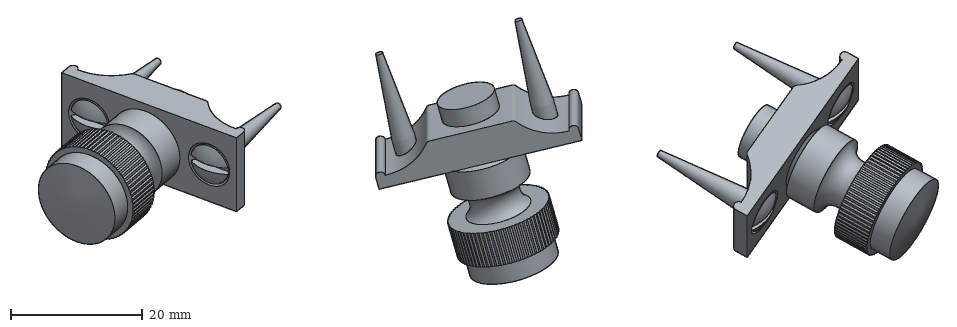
import cadquery as cq
import math


overall_length = 40.05
sides = (-1, 1)

plate_length = 32.0
plate_height = 13.6
plate_thickness = 5.85
plate_end_thickness = 2.05
scoop_radius = 9.0
scoop_center_x = 14.2
shoulder_fillet = 0.8
bead_radius = 0.75
bead_center_y = 2.0

shaft_radius = 4.53
shaft_end_y = 8.8
collar_radius = 6.3
collar_seat_radius = 4.8
collar_chamfer_length = 1.0
collar_end_y = -5.93
neck_bottom_radius = 4.0
neck_bottom_y = -8.5
grip_shoulder_radius = 5.13
grip_radius = 8.05
grip_start_y = -10.7
grip_end_y = -16.5
cap_radius = 7.0
cap_end_y = -20.02
cap_tip_y = -21.03
knurl_count = 72
knurl_depth = 0.12

screw_offset = 10.97
pin_radius = 1.8
pin_taper_start_y = 4.75
pin_tip_radius = 0.55
pin_tip_y = overall_length + cap_tip_y
countersink_radius = 3.75
countersink_depth = countersink_radius - pin_radius
head_radius = 3.4
head_edge_y = 0.05
head_rim_end_y = countersink_radius - head_radius
head_crown_y = -0.92
slot_width = 1.15
slot_floor_y = 0.72


def cylinder_along_y(radius, start_y, end_y):
    """A cylinder on the Y axis between two Y positions."""
    return cq.Workplane("XZ", origin=(0, end_y, 0)).circle(radius).extrude(end_y - start_y)


def revolve_about_y(outline):
    """Turn a closed outline, drawn as (radius, y), into a solid of revolution."""
    return outline.close().revolve(360, (0, 0, 0), (0, 1, 0))


def make_screw_hole():
    """The volume of one countersunk through hole, on the Y axis."""
    return revolve_about_y(
        cq.Workplane("XY")
        .lineTo(countersink_radius, 0)
        .lineTo(pin_radius, countersink_depth)
        .lineTo(pin_radius, plate_thickness)
        .lineTo(0, plate_thickness)
    )


def make_plate():
    """The plate with scooped shoulders, end beads, a knob hole and two countersunk screw holes."""
    half_length = plate_length / 2
    bead_center_x = half_length - bead_radius
    bead_inner_x = bead_center_x - bead_radius
    rise = plate_thickness - plate_end_thickness
    scoop_center_y = plate_end_thickness + scoop_radius
    shoulder_x = scoop_center_x - math.sqrt(scoop_radius**2 - (scoop_radius - rise) ** 2)
    middle_angle = math.acos(1 - rise / scoop_radius) / 2
    scoop_middle_x = scoop_center_x - scoop_radius * math.sin(middle_angle)
    scoop_middle_y = scoop_center_y - scoop_radius * math.cos(middle_angle)

    half_outline = (
        cq.Workplane("XY", origin=(0, 0, -plate_height / 2))
        .lineTo(half_length, 0)
        .lineTo(half_length, bead_center_y)
        .threePointArc((bead_center_x, bead_center_y + bead_radius), (bead_inner_x, bead_center_y))
        .lineTo(bead_inner_x, plate_end_thickness)
        .lineTo(scoop_center_x, plate_end_thickness)
        .threePointArc((scoop_middle_x, scoop_middle_y), (shoulder_x, plate_thickness))
        .lineTo(0, plate_thickness)
        .close()
    )
    half_plate = half_outline.extrude(plate_height)
    plate = half_plate.union(half_plate.mirror("YZ"))
    for side in sides:
        shoulder = cq.selectors.NearestToPointSelector((side * shoulder_x, plate_thickness, 0))
        plate = plate.edges(shoulder).fillet(shoulder_fillet)

    plate = plate.cut(cylinder_along_y(shaft_radius, 0, plate_thickness))
    for side in sides:
        plate = plate.cut(make_screw_hole().translate((side * screw_offset, 0, 0)))
    return plate


def make_grip():
    """The knurled grip: a prism with a ring of V-shaped teeth."""
    half_pitch = math.pi / knurl_count
    points = []
    for step in range(2 * knurl_count):
        radius = grip_radius if step % 2 else grip_radius - knurl_depth
        points.append((radius * math.cos(step * half_pitch), radius * math.sin(step * half_pitch)))
    grip = cq.Workplane("XZ", origin=(0, grip_start_y, 0)).polyline(points).close()
    return grip.extrude(grip_start_y - grip_end_y)


def make_knob():
    """The knob: shaft through the plate, collar, waisted neck, knurled grip and conical cap."""
    waist = neck_bottom_radius, neck_bottom_y
    turned = revolve_about_y(
        cq.Workplane("XY")
        .moveTo(0, shaft_end_y)
        .lineTo(shaft_radius, shaft_end_y)
        .lineTo(shaft_radius, 0)
        .lineTo(collar_seat_radius, 0)
        .lineTo(collar_radius, -collar_chamfer_length)
        .lineTo(collar_radius, collar_end_y)
        .threePointArc(waist, (grip_shoulder_radius, grip_start_y))
        .lineTo(cap_radius, grip_start_y)
        .lineTo(cap_radius, cap_end_y)
        .lineTo(0, cap_tip_y)
    )
    return turned.union(make_grip())


def make_screw():
    """One screw on the Y axis: slotted raised head with a rim, countersunk underside and tapered pin."""
    crown_height = head_edge_y - head_crown_y
    crown_radius = (head_radius**2 + crown_height**2) / (2 * crown_height)
    half_angle = math.asin(head_radius / crown_radius) / 2
    crown_middle = (
        crown_radius * math.sin(half_angle),
        head_crown_y + crown_radius * (1 - math.cos(half_angle)),
    )
    screw = revolve_about_y(
        cq.Workplane("XY")
        .moveTo(0, head_crown_y)
        .threePointArc(crown_middle, (head_radius, head_edge_y))
        .lineTo(head_radius, head_rim_end_y)
        .lineTo(pin_radius, countersink_depth)
        .lineTo(pin_radius, pin_taper_start_y)
        .lineTo(pin_tip_radius, pin_tip_y)
        .lineTo(0, pin_tip_y)
    )
    slot_depth = slot_floor_y - head_crown_y
    slot_center_y = (slot_floor_y + head_crown_y) / 2
    slot = cq.Workplane("XY").box(2 * head_radius, slot_depth, slot_width)
    return screw.cut(slot.translate((0, slot_center_y, 0)))


plate = make_plate()
knob = make_knob()
screws = []
for side in sides:
    screw = make_screw().translate((side * screw_offset, 0, 0))
    screws.append(screw.solids().val())

result = cq.Compound.makeCompound([plate.solids().val(), knob.solids().val(), *screws])